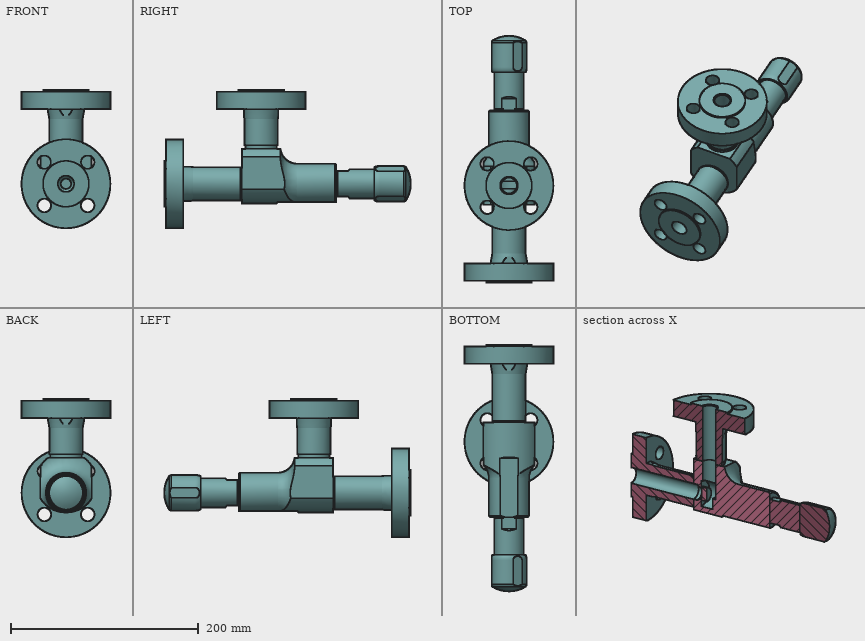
import cadquery as cq
import math


overall_length = 263.0
overall_height = 147.5
flange_diameter = 95.0
inlet_face_y = -103.4
cap_top_y = inlet_face_y + overall_length
outlet_face_z = overall_height - flange_diameter / 2

flange_thickness = 18.7
raised_face_radius = 24.5
raised_face_height = 1.8
bolt_count = 4
bolt_circle_radius = 32.5
bolt_hole_radius = 7.0
pipe_radius = 18.0
hub_radius = 19.7
hub_length = 10.5
hub_flat_distance = 18.5
weld_end_radius = 16.8
inlet_weld_end_length = 1.5
outlet_weld_end_length = 4.0
inlet_bore_radius = 8.7
outlet_bore_radius = 8.5
outlet_mouth_chamfer = 1.0

block_half_width = 27.4
block_half_depth = 20.5
block_top_z = 37.3
block_round_radius = 32.3
block_round_center_z = 11.3
block_bottom_z = block_round_center_z - block_round_radius

barrel_radius = 21.5
barrel_end_y = 80.2
barrel_chamfer = 1.5
flare_start_y = 38.5
flare_radius = 18.0
barrel_flat_z = -19.5
barrel_flat_front_y = 18.0

seat_cone_start_y = -15.8
seat_cone_end_y = -12.5
seat_cone_radius = 6.5
seat_hole_radius = 5.5
seat_face_y = -10.5
chamber_radius = 14.5
chamber_end_y = 4.5
outlet_floor_z = -2.5

disc_radius = 8.0
disc_rear_y = -3.2

bonnet_radius = 15.8
bonnet_neck_radius = 15.0
bonnet_neck_length = 1.5
bonnet_flat_distance = 13.7
bonnet_flat_end_y = 92.5

cap_radius = 19.2
cap_bottom_y = 120.5
cap_round_radius = 10.5
cap_round_length = 5.5
cap_shoulder_y = 152.0
cap_dome_y = 154.5
cap_dome_radius = 18.0
cap_flat_distance = 18.5
cap_flat_count = 3


def cylinder_y(radius, start_y, end_y):
    """Cylinder on the Y axis between two Y positions."""
    return cq.Workplane("XZ", origin=(0, start_y, 0)).circle(radius).extrude(start_y - end_y)


def make_flange(face_to_end, bore_radius, weld_end_length, mouth_chamfer=0.0):
    """Weld-neck flange with its raised face at the origin, facing +Z, and flats on +Y and -Y."""
    rim_z = -raised_face_height
    hub_top_z = rim_z - flange_thickness
    hub_bottom_z = hub_top_z - hub_length
    weld_z = weld_end_length - face_to_end
    first_bolt_angle = 180 / bolt_count

    rim = cq.Workplane("XY").workplane(offset=hub_top_z).circle(flange_diameter / 2).extrude(flange_thickness)
    bolt_holes = (
        cq.Workplane("XY")
        .workplane(offset=hub_top_z)
        .polarArray(bolt_circle_radius, first_bolt_angle, 360, bolt_count)
        .circle(bolt_hole_radius)
        .extrude(flange_thickness)
    )
    raised_face = cq.Workplane("XY").circle(raised_face_radius).extrude(-raised_face_height)

    hub = (
        cq.Workplane("XZ")
        .polyline([(0, hub_top_z), (hub_radius, hub_top_z), (pipe_radius, hub_bottom_z), (0, hub_bottom_z)])
        .close()
        .revolve(360, (0, 0, 0), (0, 1, 0))
    )
    flat_limits = (
        cq.Workplane("XY")
        .workplane(offset=hub_bottom_z)
        .rect(2 * hub_radius, 2 * hub_flat_distance)
        .extrude(hub_length)
    )
    pipe = cq.Workplane("XY").workplane(offset=weld_z).circle(pipe_radius).extrude(hub_bottom_z - weld_z)
    weld_end = (
        cq.Workplane("XY")
        .workplane(offset=-face_to_end)
        .circle(weld_end_radius)
        .extrude(weld_end_length)
    )
    hub = hub.intersect(flat_limits)

    flange = rim.cut(bolt_holes).union(raised_face).union(hub).union(pipe).union(weld_end)
    flange = flange.cut(cq.Workplane("XY").circle(bore_radius).extrude(-face_to_end))
    if mouth_chamfer > 0:
        bore_edge = cq.selectors.RadiusNthSelector(0)
        flange = flange.faces(">Z").edges(bore_edge).chamfer(mouth_chamfer)
    return flange


def make_block_envelope():
    """Block cross-section, a round bar cut flat on top and both sides, long enough for the whole housing."""
    envelope_length = barrel_end_y + block_half_depth
    round_bar = (
        cq.Workplane("XZ", origin=(0, -block_half_depth, block_round_center_z))
        .circle(block_round_radius)
        .extrude(-envelope_length)
    )
    flat_limits = cq.Workplane("XY").box(
        2 * block_half_width, envelope_length, block_top_z - block_bottom_z, centered=(True, False, False)
    ).translate((0, -block_half_depth, block_bottom_z))
    return round_bar.intersect(flat_limits)


def make_flared_barrel():
    """Turned body: barrel that flares with a concave round into a full-width block."""
    flare_center_r = barrel_radius + flare_radius
    flare_end_y = flare_start_y - flare_radius
    mid_offset = flare_radius * math.sqrt(0.5)
    blank_radius = math.hypot(block_half_width, block_top_z)
    return (
        cq.Workplane("XY")
        .moveTo(0, -block_half_depth)
        .lineTo(blank_radius, -block_half_depth)
        .lineTo(blank_radius, flare_end_y)
        .lineTo(flare_center_r, flare_end_y)
        .threePointArc(
            (flare_center_r - mid_offset, flare_start_y - mid_offset),
            (barrel_radius, flare_start_y),
        )
        .lineTo(barrel_radius, barrel_end_y - barrel_chamfer)
        .lineTo(barrel_radius - barrel_chamfer, barrel_end_y)
        .lineTo(0, barrel_end_y)
        .close()
        .revolve(360, (0, 0, 0), (0, 1, 0))
    )


def make_barrel_flat_cutter():
    """Removes the underside of the barrel below its flat, ending in a 45 degree ramp at the block."""
    bottom_z = -barrel_radius
    depth = barrel_flat_z - bottom_z
    return (
        cq.Workplane("YZ")
        .polyline([
            (barrel_flat_front_y, barrel_flat_z),
            (barrel_end_y, barrel_flat_z),
            (barrel_end_y, bottom_z),
            (barrel_flat_front_y - depth, bottom_z),
        ])
        .close()
        .extrude(block_half_width, both=True)
    )


def make_flow_passages():
    """Stepped inlet with conical seat, the disc chamber and the outlet bore."""
    inlet = (
        cq.Workplane("XY")
        .polyline([
            (0, -block_half_depth),
            (inlet_bore_radius, -block_half_depth),
            (inlet_bore_radius, seat_cone_start_y),
            (seat_cone_radius, seat_cone_end_y),
            (seat_hole_radius, seat_face_y),
            (chamber_radius, seat_face_y),
            (chamber_radius, chamber_end_y),
            (0, chamber_end_y),
        ])
        .close()
        .revolve(360, (0, 0, 0), (0, 1, 0))
    )
    outlet = (
        cq.Workplane("XY")
        .workplane(offset=outlet_floor_z)
        .circle(outlet_bore_radius)
        .extrude(block_top_z - outlet_floor_z)
    )
    return inlet.union(outlet)


def make_housing():
    housing = make_flared_barrel().intersect(make_block_envelope())
    return housing.cut(make_barrel_flat_cutter()).cut(make_flow_passages())


def make_valve_disc():
    return cylinder_y(disc_radius, seat_face_y, disc_rear_y)


def make_bonnet():
    """Sleeve with a short undercut neck and two wrench flats, facing +Z and -Z."""
    neck_end_y = barrel_end_y + bonnet_neck_length
    bonnet = cylinder_y(bonnet_radius, neck_end_y, cap_bottom_y)
    bonnet = bonnet.union(cylinder_y(bonnet_neck_radius, barrel_end_y, neck_end_y))
    depth = bonnet_radius - bonnet_flat_distance
    flat_cutter = (
        cq.Workplane("YZ")
        .polyline([
            (barrel_end_y, bonnet_flat_distance),
            (bonnet_flat_end_y, bonnet_flat_distance),
            (bonnet_flat_end_y + depth, bonnet_radius),
            (barrel_end_y, bonnet_radius),
        ])
        .close()
        .extrude(bonnet_radius, both=True)
    )
    return bonnet.cut(flat_cutter).cut(flat_cutter.mirror("XY"))


def make_cap():
    """Domed cap with a rounded lower edge and three flats."""
    round_start_y = cap_bottom_y + cap_round_length

    def round_edge(drop):
        return cap_radius - cap_round_radius + math.sqrt(cap_round_radius**2 - drop**2)

    dome_rise = cap_top_y - cap_dome_y
    dome_sphere_radius = (cap_dome_radius**2 + dome_rise**2) / (2 * dome_rise)
    dome_mid_r = cap_dome_radius / 2
    dome_mid_y = cap_top_y - dome_sphere_radius + math.sqrt(dome_sphere_radius**2 - dome_mid_r**2)

    cap = (
        cq.Workplane("XY")
        .moveTo(0, cap_bottom_y)
        .lineTo(round_edge(cap_round_length), cap_bottom_y)
        .threePointArc(
            (round_edge(cap_round_length / 2), round_start_y - cap_round_length / 2),
            (cap_radius, round_start_y),
        )
        .lineTo(cap_radius, cap_shoulder_y)
        .lineTo(cap_dome_radius, cap_dome_y)
        .threePointArc((dome_mid_r, dome_mid_y), (0, cap_top_y))
        .close()
        .revolve(360, (0, 0, 0), (0, 1, 0))
    )
    flat_cutter = cq.Workplane("XY").box(
        cap_radius, cap_top_y - cap_bottom_y, 2 * cap_radius, centered=(False, False, True)
    ).translate((-cap_flat_distance - cap_radius, cap_bottom_y, 0))
    for index in range(cap_flat_count):
        cap = cap.cut(flat_cutter.rotate((0, 0, 0), (0, 1, 0), index * 360 / cap_flat_count))
    return cap


housing = make_housing()
inlet_flange = (
    make_flange(-block_half_depth - inlet_face_y, inlet_bore_radius, inlet_weld_end_length)
    .rotate((0, 0, 0), (1, 0, 0), 90)
    .translate((0, inlet_face_y, 0))
)
outlet_flange = make_flange(
    outlet_face_z - block_top_z, outlet_bore_radius, outlet_weld_end_length, outlet_mouth_chamfer
).translate((0, 0, outlet_face_z))
valve_disc = make_valve_disc()
bonnet = make_bonnet()
cap = make_cap()

result = cq.Compound.makeCompound([
    housing.val(),
    inlet_flange.val(),
    outlet_flange.val(),
    valve_disc.val(),
    bonnet.val(),
    cap.val(),
])